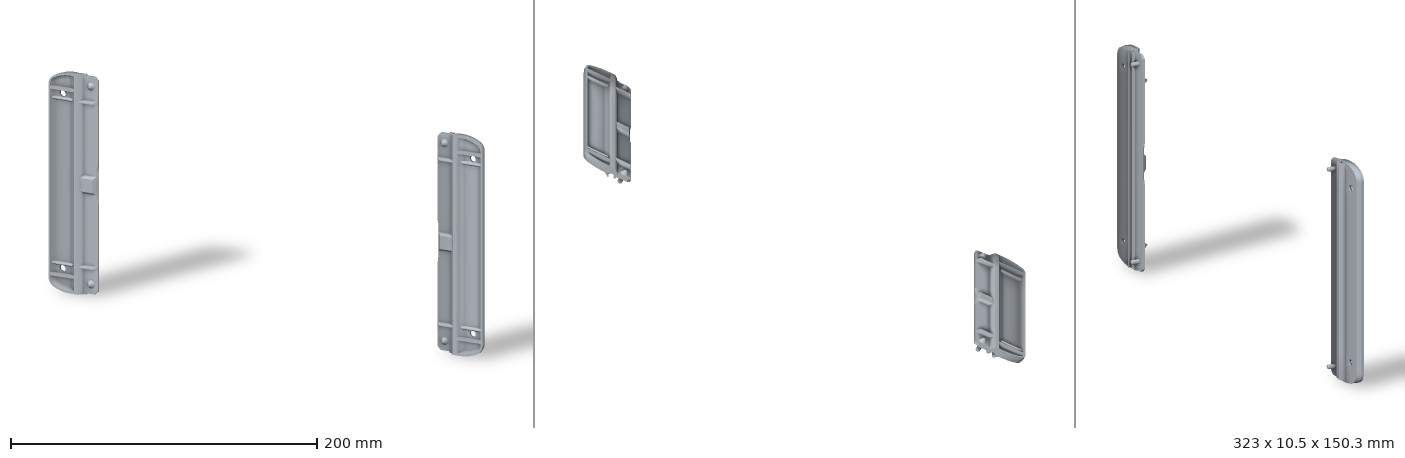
import cadquery as cq
import math

OVERALL_WIDTH = 322.95
OVERALL_HEIGHT = 150.28
OVERALL_DEPTH = 10.5

plate_width = 35.0
half_height = OVERALL_HEIGHT / 2
strip_half_height = half_height - 0.9
step_x = 26.4
crown_start_x = 16.0
crown_radius = 26.0
corner_radius = 7.0
inner_corner = 2.3

crown_centre_z = half_height - crown_radius
centre_offset_x = crown_start_x - corner_radius
centre_offset_z = math.sqrt((crown_radius - corner_radius) ** 2 - centre_offset_x**2)
corner_start_z = crown_centre_z + centre_offset_z
blend_angle = math.atan2(centre_offset_z, -centre_offset_x)

back_y = 5.0
floor_y = 3.0
strip_y = 3.2

rim_width = 1.3
tray_fillet = 2.4
tray_inner_x = 15.0
tray_ramp_end = (18.0, 1.9)
ridge_outer_x = 19.2
ridge_inner_x = 21.8
ridge_ramp_end = (23.6, 1.6)
strip_outer_x = 24.8
edge_bevel_start_y = 2.2
edge_bevel_width = 1.0

cross_rib_z = 63.75
cross_rib_width = 1.9
low_rib_z = 56.4
low_rib_width = 2.6
low_rib_bevel = 1.0
low_rib_y = 1.2
low_rib_start_x = 2.0
low_rib_end_x = 17.0
strip_rib_y = 0.0
strip_rib_crest_end_x = 32.7
hole_diameter = 4.5
hole_x = 8.8
hole_z = 59.7

block_half_height = 6.3
block_bevel = 1.7
block_y = 1.1
block_start_x = 22.0
notch_x = 32.4
notch_half_height = 10.5
notch_ramp = 9.5
notch_taper = 36.0

lip_half_height = half_height - 1.0
lip_root_y = back_y - 0.5
outer_lip = [(15.5, lip_root_y), (19.9, 7.6), (20.7, 7.6), (18.6, lip_root_y)]
inner_lip = [(22.7, lip_root_y), (23.6, 6.5), (25.1, 6.5), (25.1, lip_root_y)]
groove = [(19.7, back_y), (20.6, 4.0), (22.4, 4.0), (22.9, back_y)]

screw_x = 29.9
screw_z = 67.6
head_diameter = 5.6
head_y = 0.6
shank_diameter = 3.0
tip_chamfer = 0.4
socket_diameter = 1.66
socket_depth = 1.0


def extrude_back(sketch, front, back):
    """Extrude an X-Z sketch from depth `front` to depth `back`."""
    return sketch.extrude(-(back - front)).translate((0, front, 0))


def section_bar(points, half_length):
    """Bar along Z with the given X-Y section."""
    return cq.Workplane("XY").polyline(points).close().extrude(half_length, both=True)


def box(x_range, y_range, z_range):
    """Box between the given limits on each axis."""
    lengths = [high - low for low, high in (x_range, y_range, z_range)]
    corner = (x_range[0], y_range[0], z_range[0])
    return cq.Workplane("XY").box(*lengths, centered=False).translate(corner)


def flip(point):
    """Mirror an X-Z point to the other end of the plate."""
    return (point[0], -point[1])


def crown_point(angle):
    """Point on the crown arc at the given angle from the X axis."""
    return (
        crown_start_x + crown_radius * math.cos(angle),
        crown_centre_z + crown_radius * math.sin(angle),
    )


def corner_point(angle):
    """Point on the corner arc at the given angle from the X axis."""
    return (
        corner_radius + corner_radius * math.cos(angle),
        corner_start_z + corner_radius * math.sin(angle),
    )


def rounded_edge(sketch):
    """Draw the outer edge from the bottom of the crown up to the top of the crown."""
    crown_middle = crown_point((blend_angle + math.pi / 2) / 2)
    corner_middle = corner_point((blend_angle + math.pi) / 2)
    blend = crown_point(blend_angle)
    return (
        sketch.moveTo(crown_start_x, -half_height)
        .threePointArc(flip(crown_middle), flip(blend))
        .threePointArc(flip(corner_middle), (0, -corner_start_z))
        .lineTo(0, corner_start_z)
        .threePointArc(corner_middle, blend)
        .threePointArc(crown_middle, (crown_start_x, half_height))
    )


def plate_outline():
    """Plate outline: rounded outer corners, a slightly shorter inner strip."""
    return (
        rounded_edge(cq.Workplane("XZ"))
        .lineTo(step_x, half_height)
        .lineTo(step_x, strip_half_height)
        .lineTo(plate_width - inner_corner, strip_half_height)
        .lineTo(plate_width, strip_half_height - inner_corner)
        .lineTo(plate_width, inner_corner - strip_half_height)
        .lineTo(plate_width - inner_corner, -strip_half_height)
        .lineTo(step_x, -strip_half_height)
        .lineTo(step_x, -half_height)
        .close()
    )


def outer_edge_bevel():
    """Sliver removed behind the outer edge, leaving a bevel that fades out at the crown."""
    depth = back_y - edge_bevel_start_y
    front = cq.Workplane("XZ", origin=(0, edge_bevel_start_y, 0))
    kept = rounded_edge(rounded_edge(front).close().workplane(offset=-depth).center(edge_bevel_width, 0))
    kept = kept.close().loft(ruled=True)
    return extrude_back(rounded_edge(cq.Workplane("XZ")).close(), edge_bevel_start_y, back_y).cut(kept)


def tray_pocket():
    """Tray hollow: rounded against the outer rim, stepped against the ridge."""
    hollow = extrude_back(plate_outline().offset2D(-rim_width), 0, floor_y)
    hollow = hollow.faces(">Y").edges("not >X").fillet(tray_fillet)
    ridge_side = [
        (0, 0),
        (ridge_outer_x, 0),
        tray_ramp_end,
        (tray_inner_x, floor_y),
        (0, floor_y),
    ]
    return hollow.intersect(section_bar(ridge_side, half_height))


def bevelled_rib(x_range, z_middle, half_width, bevel, front, back):
    """Rib across the plate with sloping long sides."""
    section = [
        (back, -half_width),
        (front, bevel - half_width),
        (front, half_width - bevel),
        (back, half_width),
    ]
    length = x_range[1] - x_range[0]
    return cq.Workplane("YZ").polyline(section).close().extrude(length).translate((x_range[0], 0, z_middle))


def strip_rib(z_middle):
    """Rib across the strip, sloping down to the inner edge."""
    rib = bevelled_rib(
        (block_start_x, plate_width), z_middle, low_rib_width / 2, low_rib_bevel, strip_rib_y, strip_y
    )
    side = [
        (block_start_x, strip_rib_y),
        (strip_rib_crest_end_x, strip_rib_y),
        (plate_width, strip_y),
        (block_start_x, strip_y),
    ]
    return rib.intersect(section_bar(side, half_height))


def edge_notch():
    """Sloping notch in the middle of the inner edge."""
    outer_z = notch_half_height + notch_ramp
    far_x = plate_width + notch_ramp
    points = [
        (notch_x, -notch_half_height),
        (notch_x, notch_half_height),
        (plate_width, outer_z),
        (far_x, outer_z),
        (far_x, -outer_z),
        (plate_width, -outer_z),
    ]
    sketch = cq.Workplane("XZ").polyline(points).close()
    return sketch.extrude(block_y - back_y, taper=notch_taper).translate((0, block_y, 0))


def end_ribs(side):
    """Ribs across the tray and the strip near one end of the plate."""
    rib_z = side * cross_rib_z
    low_z = side * low_rib_z
    cross_rib = box(
        (rim_width / 2, ridge_outer_x),
        (0, floor_y),
        (rib_z - cross_rib_width / 2, rib_z + cross_rib_width / 2),
    )
    tray_rib = bevelled_rib(
        (low_rib_start_x, low_rib_end_x), low_z, low_rib_width / 2, low_rib_bevel, low_rib_y, floor_y
    )
    return cross_rib, tray_rib, strip_rib(low_z)


def through_hole(x, z, diameter):
    """Cutter for a round hole through the plate."""
    return extrude_back(cq.Workplane("XZ").center(x, z).circle(diameter / 2), 0, back_y)


def make_plate():
    """Side plate with its tray, ridge, strip, ribs and holes."""
    plate = extrude_back(plate_outline(), 0, back_y)
    plate = plate.cut(outer_edge_bevel())
    plate = plate.cut(tray_pocket())

    strip_space = [
        (ridge_inner_x, 0),
        ridge_ramp_end,
        (strip_outer_x, strip_y),
        (plate_width, strip_y),
        (plate_width, 0),
    ]
    plate = plate.cut(section_bar(strip_space, half_height))

    plate = plate.cut(section_bar(groove, half_height))
    for lip in (outer_lip, inner_lip):
        plate = plate.union(section_bar(lip, lip_half_height))

    for side in (-1, 1):
        for rib in end_ribs(side):
            plate = plate.union(rib)
        plate = plate.cut(through_hole(hole_x, side * hole_z, hole_diameter))
        plate = plate.cut(through_hole(screw_x, side * screw_z, shank_diameter))

    plate = plate.union(
        bevelled_rib((block_start_x, plate_width), 0, block_half_height, block_bevel, block_y, strip_y)
    )
    return plate.cut(edge_notch())


def make_screw(z):
    """Screw with a conical head in front of the strip and a shank out of the back."""
    shank_radius = shank_diameter / 2
    socket_radius = socket_diameter / 2
    profile = [
        (0, head_y + socket_depth),
        (socket_radius, head_y + socket_depth),
        (socket_radius, head_y),
        (head_diameter / 2, strip_y),
        (shank_radius, strip_y),
        (shank_radius, OVERALL_DEPTH - tip_chamfer),
        (shank_radius - tip_chamfer, OVERALL_DEPTH),
        (0, OVERALL_DEPTH),
    ]
    screw = cq.Workplane("XY").polyline(profile).close().revolve(360, (0, 0, 0), (0, 1, 0))
    return screw.translate((screw_x, 0, z))


bodies = []
for local_body in (make_plate(), make_screw(-screw_z), make_screw(screw_z)):
    left_body = local_body.translate((-OVERALL_WIDTH / 2, 0, 0))
    bodies.append(left_body.solids().val())
    bodies.append(left_body.mirror("YZ").solids().val())

result = cq.Compound.makeCompound(bodies)